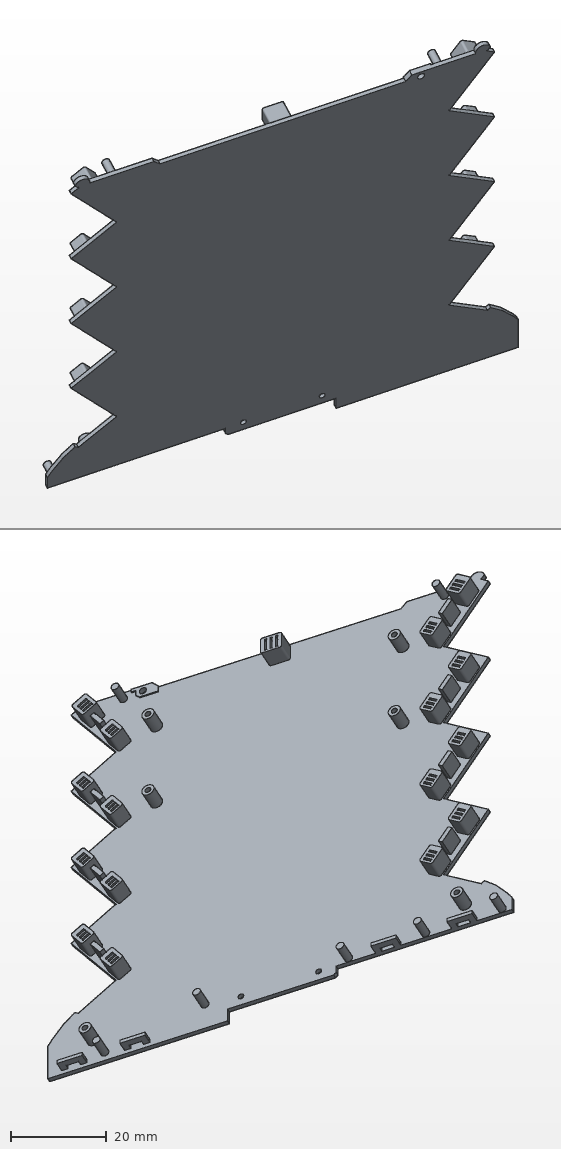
import cadquery as cq
import math


board_thickness = 1.0
component_height = 4.3
half_width = 53.5
bottom_z = -53.26
top_z = 51.3
recessed_top_z = 49.8
recess_half_width = 27.9
recess_chamfer = 1.4

tooth_count = 4
tooth_pitch = 22.0
tooth_angle = math.radians(35)
tooth_tip_y = 48.1
top_tip_z = 49.7
flank_length = tooth_pitch * math.cos(tooth_angle)
notch_y = tooth_tip_y - flank_length * math.sin(tooth_angle)
notch_drop = flank_length * math.cos(tooth_angle)

knob_y = 45.5
knob_radius = 1.7
knob_z = -bottom_z - knob_radius
knob_shoulder_angle = math.radians(8)
knob_neck_y = 46.35

shoulder_root_y = 46.45
shoulder_points = [(47.2, -36.6), (49.8, -38.9), (52.4, -42.2), (half_width, -43.9)]

middle_bottom_z = -49.85
right_bottom_z = -47.5
left_step_y = 12.1
right_step_y = -13.0
step_chamfer = 0.6

standoff_diameter = 2.8
standoff_bore = 1.3
standoff_bore_depth = 2.0
standoff_y = 28.4
standoff_z = 38.4
standoff_points = [
    (standoff_y, standoff_z),
    (-standoff_y, standoff_z),
    (standoff_y, standoff_z - tooth_pitch),
    (-standoff_y, standoff_z - tooth_pitch),
    (42.9, -46.5),
    (-42.8, -41.9),
]
pin_diameter = 1.8
upper_pin_z = 49.4
lower_pin_z = -46.5
pin_points = [
    (36.0, upper_pin_z),
    (-38.0, upper_pin_z),
    (40.3, -51.1),
    (17.2, lower_pin_z),
    (-15.9, lower_pin_z),
    (-33.7, lower_pin_z),
    (-51.3, lower_pin_z),
]
board_hole_diameter = 1.3
board_hole_points = [(8.95, -47.4), (-8.95, -47.4)]

staple_length = 5.8
staple_width = 0.9
staple_height = 2.4
staple_gap_height = 1.0
staple_leg = 1.45
left_staple_z = -51.8
right_staple_z = right_bottom_z + staple_width / 2
staple_points = [
    (47.35, left_staple_z),
    (32.85, left_staple_z),
    (-25.0, right_staple_z),
    (-42.55, right_staple_z),
]

socket_corner_radius = 0.5
slot_count = 3
slot_width = 0.5
slot_depth = 2.0

edge_slot_pitch = 1.05
upper_socket_along = (2.65, 7.25)
lower_socket_along = (14.2, 18.7)
socket_inward = (0.4, 4.0)
top_socket_inward = (0.6, 4.65)
edge_slot_offset = 0.35
edge_slot_margin = 0.8
rib_along = (9.0, 12.9)
rib_inward = (1.5, 2.6)

middle_socket_width = 4.9
middle_socket_depth = 4.3
middle_socket_setback = 0.1
middle_slot_pitch = 1.25
middle_slot_margin = 0.6

pad_height = 0.3
pad_bottom_z = 48.3
pad_outer_y = 34.1
pad_tab_height = 0.8
pad_tab_width = 1.0
pad_chamfer = 0.9
pad_hole_diameter = 1.6
pad_hole_point = (31.4, 49.8)

LEFT = 1
RIGHT = -1


def on_face(shape_height=0):
    """YZ workplane shape_height above the board's component face; extrusions run toward the board."""
    return cq.Workplane("YZ", origin=(-shape_height, 0, 0))


def side_points(side):
    """Side outline from the recess in the top edge down to the outer bottom corner."""
    points = [
        (recess_half_width, recessed_top_z),
        (recess_half_width + recess_chamfer, top_z),
        (tooth_tip_y - (top_z - top_tip_z) / math.tan(tooth_angle), top_z),
    ]
    for tooth in range(tooth_count):
        tip_z = top_tip_z - tooth * tooth_pitch
        points.append((tooth_tip_y, tip_z))
        points.append((notch_y, tip_z - notch_drop))
    last_notch_z = points[-1][1]
    shoulder_drop = (shoulder_root_y - notch_y) * math.tan(tooth_angle)
    points.append((shoulder_root_y, last_notch_z - shoulder_drop))
    points.extend(shoulder_points)
    points.append((half_width, bottom_z if side == LEFT else right_bottom_z))
    return [(side * y, z) for y, z in points]


def make_knob():
    """Knob on the +Y top corner, closed off inside the board."""
    shoulder = (
        knob_y + knob_radius * math.cos(knob_shoulder_angle),
        knob_z + knob_radius * math.sin(knob_shoulder_angle),
    )
    neck = (knob_neck_y, top_tip_z + (tooth_tip_y - knob_neck_y) * math.tan(tooth_angle))
    inner_y = knob_y - knob_radius
    profile = on_face().moveTo(*shoulder).threePointArc((knob_y, knob_z + knob_radius), (inner_y, knob_z))
    profile = profile.lineTo(inner_y, neck[1]).lineTo(*neck).close()
    return profile.extrude(board_thickness)


def make_board():
    bottom = [
        (left_step_y, bottom_z),
        (left_step_y, middle_bottom_z),
        (right_step_y + step_chamfer, middle_bottom_z),
        (right_step_y, middle_bottom_z + step_chamfer),
        (right_step_y, right_bottom_z),
    ]
    outline = side_points(LEFT) + bottom + side_points(RIGHT)[::-1]
    board = on_face().polyline(outline).close().extrude(board_thickness)
    knob = make_knob()
    return board.union(knob).union(knob.mirror("XZ"))


def make_socket(width, depth, slot_length, slot_pitch, slot_offset):
    """Socket centred on the origin, slots across its width and shifted by slot_offset along it."""
    socket = on_face(component_height).rect(width, depth).extrude(component_height)
    socket = socket.edges("|X").fillet(socket_corner_radius)
    first_slot = slot_offset - slot_pitch * (slot_count - 1) / 2
    centres = [(first_slot + index * slot_pitch, 0) for index in range(slot_count)]
    slots = on_face(component_height).pushPoints(centres).rect(slot_width, slot_length).extrude(slot_depth)
    return socket.cut(slots)


def place_on_flank(component, along, inward, tip_z, side):
    """Move an origin-centred component to its spans on a flank; local +Y turns down the flank."""
    middle_along = sum(along) / 2
    middle_inward = sum(inward) / 2
    placed = component.translate((0, middle_along, -middle_inward))
    placed = placed.rotate((0, 0, 0), (1, 0, 0), -90 - math.degrees(tooth_angle))
    placed = placed.translate((0, tooth_tip_y, tip_z))
    return placed if side == LEFT else placed.mirror("XZ")


def span(limits):
    return limits[1] - limits[0]


def make_edge_components(side):
    """Two sockets and a rib on the lower flank of every tooth of one side."""
    rib = on_face(component_height).rect(span(rib_along), span(rib_inward)).extrude(component_height)
    placed = []
    for tooth in range(tooth_count):
        tip_z = top_tip_z - tooth * tooth_pitch
        upper_inward = top_socket_inward if tooth == 0 else socket_inward
        for along, inward in [(upper_socket_along, upper_inward), (lower_socket_along, socket_inward)]:
            slot_length = span(inward) - 2 * edge_slot_margin
            socket = make_socket(span(along), span(inward), slot_length, edge_slot_pitch, edge_slot_offset)
            placed.append(place_on_flank(socket, along, inward, tip_z, side))
        placed.append(place_on_flank(rib, rib_along, rib_inward, tip_z, side))
    return placed


def make_middle_socket():
    slot_length = middle_socket_depth - 2 * middle_slot_margin
    socket = make_socket(middle_socket_width, middle_socket_depth, slot_length, middle_slot_pitch, 0)
    middle_z = recessed_top_z - middle_socket_setback - middle_socket_depth / 2
    return socket.translate((0, 0, middle_z))


def make_standoffs():
    height = component_height
    posts = on_face(height).pushPoints(standoff_points).circle(standoff_diameter / 2).extrude(height)
    bores = on_face(height).pushPoints(standoff_points).circle(standoff_bore / 2).extrude(standoff_bore_depth)
    return posts.cut(bores)


def make_pins():
    face = on_face(component_height)
    return face.pushPoints(pin_points).circle(pin_diameter / 2).extrude(component_height)


def make_staples():
    bridges = on_face(staple_height).pushPoints(staple_points).rect(staple_length, staple_width)
    gap_length = staple_length - 2 * staple_leg
    gaps = on_face(staple_gap_height).pushPoints(staple_points).rect(gap_length, staple_width)
    return bridges.extrude(staple_height).cut(gaps.extrude(staple_gap_height))


def make_pad():
    tab_bottom_z = top_z - pad_tab_height
    body_outer_y = pad_outer_y - pad_tab_width
    outline = [
        (pad_outer_y, top_z),
        (pad_outer_y, tab_bottom_z),
        (body_outer_y, tab_bottom_z),
        (body_outer_y, pad_bottom_z + pad_chamfer),
        (body_outer_y - pad_chamfer, pad_bottom_z),
        (recess_half_width, pad_bottom_z),
        (recess_half_width, recessed_top_z),
        (recess_half_width + recess_chamfer, top_z),
    ]
    return on_face(pad_height).polyline(outline).close().extrude(pad_height)


def make_part():
    part = make_board()
    components = [make_middle_socket(), make_standoffs(), make_pins(), make_staples(), make_pad()]
    components += make_edge_components(LEFT) + make_edge_components(RIGHT)
    for component in components:
        part = part.union(component)
    hole_depth = pad_height + board_thickness
    pad_hole = on_face(pad_height).pushPoints([pad_hole_point]).circle(pad_hole_diameter / 2)
    board_holes = on_face().pushPoints(board_hole_points).circle(board_hole_diameter / 2)
    return part.cut(pad_hole.extrude(hole_depth)).cut(board_holes.extrude(board_thickness))


result = make_part()